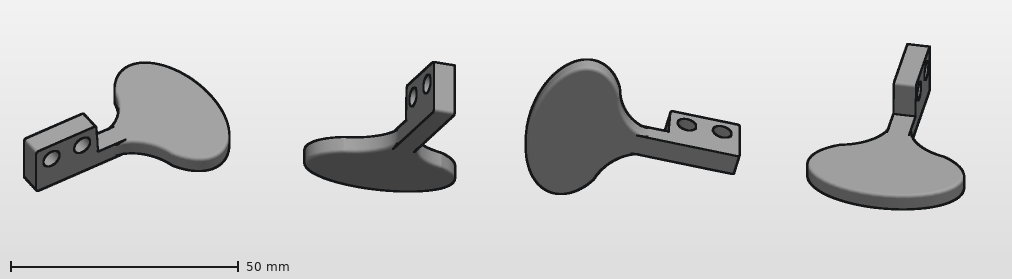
import cadquery as cq
import math

paddle_width = 35.0
paddle_half_length = 10.05
plate_thickness = 4.0
plate_edge_radius = 0.7

total_length = 47.0
stem_width = 5.0
block_height = 12.0
block_base_length = 16.1
block_back_lean = 0.4
block_edge_radius = 0.7

hole_diameter = 4.2
hole_height = 8.0
hole_spacing = 8.0
hole_count = 2
first_hole_from_end = 4.0

flare_start_x = 11.65
flare_end_y = 20.05
flare_start_slope = 0.22
flare_start_pull = 5.15
flare_end_pull = 4.15

stem_half_width = stem_width / 2
paddle_half_width = paddle_width / 2
ellipse_center_y = total_length - paddle_half_length
ellipse_drop = paddle_half_length * math.sqrt(1 - (flare_start_x / paddle_half_width) ** 2)
flare_start_y = ellipse_center_y - ellipse_drop
flare_start_drop = flare_start_slope * flare_start_pull


def flare_points(side):
    """Bezier control points from the ellipse to the stem, for side +1 or -1."""
    return [
        (side * flare_start_x, flare_start_y),
        (side * (flare_start_x - flare_start_pull), flare_start_y - flare_start_drop),
        (side * stem_half_width, flare_end_y + flare_end_pull),
        (side * stem_half_width, flare_end_y),
    ]


def make_paddle():
    """Flared elliptical plate with rounded top and bottom rims; its narrow end runs into the stem."""
    flare_start_angle = math.degrees(math.asin(ellipse_drop / paddle_half_length))
    paddle = (
        cq.Workplane("XY")
        .moveTo(flare_start_x, flare_start_y)
        .ellipseArc(paddle_half_width, paddle_half_length, -flare_start_angle, 180 + flare_start_angle)
        .bezier(flare_points(-1))
        .lineTo(stem_half_width, flare_end_y)
        .bezier(flare_points(1)[::-1])
        .wire()
        .extrude(plate_thickness)
    )
    rims = paddle.faces("|Z").edges("not(|X)")
    return rims.fillet(plate_edge_radius)


def make_stem():
    """Stem and mounting block as one side profile, extruded across the stem width."""
    stem = (
        cq.Workplane("YZ", origin=(-stem_half_width, 0, 0))
        .polyline(
            [
                (0, 0),
                (ellipse_center_y, 0),
                (ellipse_center_y, plate_thickness),
                (block_base_length, plate_thickness),
                (block_base_length - block_back_lean, block_height),
                (0, block_height),
            ]
        )
        .close()
        .extrude(stem_width)
    )
    block_edges = stem.faces(">Z or <Y").edges("|X")
    return block_edges.fillet(block_edge_radius)


def make_holes():
    """Through holes running along X, in a row along the block."""
    hole_centers = [
        (first_hole_from_end + index * hole_spacing, hole_height)
        for index in range(hole_count)
    ]
    return (
        cq.Workplane("YZ", origin=(-stem_half_width, 0, 0))
        .pushPoints(hole_centers)
        .circle(hole_diameter / 2)
        .extrude(stem_width)
    )


result = make_paddle().union(make_stem()).cut(make_holes())